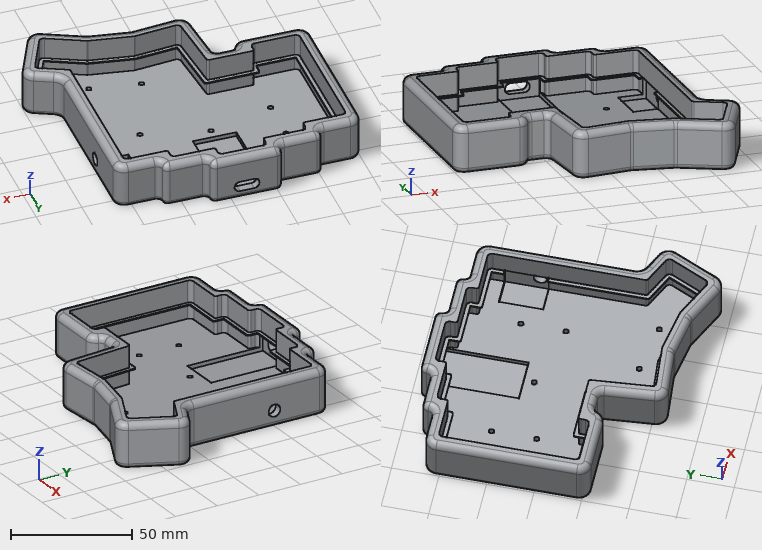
import cadquery as cq
import math


key_pitch = 19.0
key_space = 21.0
clearance = key_space - key_pitch
column_count = 5
column_stagger = 4.8
stepped_columns = 2
field_width = column_count * key_pitch + clearance
field_height = 59.3
field_middle = field_width / 2

thumb_start_x = 41.5
thumb_start_y = -22.9
thumb_tilts = (5, -10, -25)
thumb_lengths = (20.4, 19.6, 19.8)

case_height = 20.6
floor_height = 3.3
ledge_height = 10.6
ledge_thickness = 0.5
ledge_underside = ledge_height - ledge_thickness

wall_thickness = 5.0
ledge_width = 1.8

outer_radius = 5.0
outer_step_radius = column_stagger / 2
pocket_hollow_radius = 1.9
pocket_bend_radius = 1.0
ledge_bend_radius = 1.0
top_fillet = 3.0
bottom_fillet = 2.4

screw_diameter = 2.2
screw_inset_x = key_pitch + clearance / 2
screw_row_y = 22.2
center_screw_y = 29.4
thumb_screws = [(64.5, -11.5), (86.2, -15.2)]

recess_depth = 1.9
recess_bottom = floor_height - recess_depth
recess_front_y = 33.8
usb_recess_width = key_pitch
usb_wall_depth = 1.3
jack_recess_width = 10.8
jack_recess_length = 18.7
jack_wall_depth = 1.5

usb_opening_width = 10.8
usb_opening_height = 4.7
usb_opening_z = 6.0
jack_diameter = 5.5
jack_y = 37.7
jack_z = 7.3

LENGTH_TOLERANCE = 0.001


def direction(angle):
    return cq.Vector(math.cos(math.radians(angle)), math.sin(math.radians(angle)))


def thumb_corners():
    """Corners around the thumb cluster, from the notch to the right side of the key field."""
    first_tilt = thumb_tilts[0]
    last_tilt = thumb_tilts[-1]
    lean = (column_stagger - thumb_start_y) * math.tan(math.radians(first_tilt))
    corners = [cq.Vector(thumb_start_x + lean, thumb_start_y)]
    for tilt, length in zip(thumb_tilts, thumb_lengths):
        corners.append(corners[-1] + direction(tilt) * length)
    tip = corners[-1] + direction(last_tilt + 90) * key_space
    rise = (field_width - tip.x) * math.tan(math.radians(last_tilt))
    return corners + [tip, cq.Vector(field_width, tip.y + rise)]


def staggered_top_corners():
    """Corners of the stepped top side, from right to left."""
    left_half = [cq.Vector(0, field_height)]
    for step in range(1, stepped_columns + 1):
        x = step * key_pitch
        y = field_height + step * column_stagger
        left_half += [cq.Vector(x, y - column_stagger), cq.Vector(x, y)]
    right_half = [cq.Vector(field_width - corner.x, corner.y) for corner in left_half]
    return right_half + left_half[::-1]


def pocket_corners():
    """Sharp corners of the plate pocket, counterclockwise."""
    notch = [
        cq.Vector(0, 0),
        cq.Vector(key_space, 0),
        cq.Vector(key_space, column_stagger),
        cq.Vector(thumb_start_x, column_stagger),
    ]
    return notch + thumb_corners() + staggered_top_corners()


def side_directions(corners, index):
    """Unit vectors along the sides before and after a corner."""
    corner = corners[index]
    following = corners[(index + 1) % len(corners)]
    return (corner - corners[index - 1]).normalized(), (following - corner).normalized()


def offset_corners(corners, distance):
    """Move every side outward by a distance, keeping the corners sharp."""
    moved = []
    for index, corner in enumerate(corners):
        before, after = side_directions(corners, index)
        outward = cq.Vector(before.y + after.y, -before.x - after.x)
        moved.append(corner + outward * (distance / (1 + before.dot(after))))
    return moved


def inner_radii(corners, hollow_radius, bend_radius):
    """One radius for the corners that point outward, another for those that point inward."""
    radii = []
    for index in range(len(corners)):
        before, after = side_directions(corners, index)
        radii.append(hollow_radius if before.cross(after).z > 0 else bend_radius)
    return radii


def rounded_prism(corners, radii, bottom, top):
    """Extrude an outline whose corners are replaced by tangent arcs; radius 0 stays sharp."""
    path = cq.Workplane("XY", origin=(0, 0, bottom))
    position = None
    for index, (corner, radius) in enumerate(zip(corners, radii)):
        before, after = side_directions(corners, index)
        half_turn = before.getAngle(after) / 2
        tangent_length = radius * math.tan(half_turn)
        start = corner - before * tangent_length
        if position is None:
            path = path.moveTo(start.x, start.y)
        elif (start - position).Length > LENGTH_TOLERANCE:
            path = path.lineTo(start.x, start.y)
        position = start
        if radius > 0:
            inward = (after - before).normalized()
            middle = corner + inward * (radius / math.cos(half_turn) - radius)
            position = corner + after * tangent_length
            path = path.threePointArc((middle.x, middle.y), (position.x, position.y))
    return path.close().extrude(top - bottom)


def box(x_range, y_range, z_range):
    sizes = [high - low for low, high in (x_range, y_range, z_range)]
    corner = (x_range[0], y_range[0], z_range[0])
    return cq.Workplane("XY", origin=corner).box(*sizes, centered=False)


pocket = pocket_corners()
pocket_back_y = field_height + stepped_columns * column_stagger

notch_foot = 1
notch_top = 2
thumb_inner = 3
first_top_step = len(pocket) - 4 * stepped_columns - 1
small_corners = [notch_top, thumb_inner, *range(first_top_step, len(pocket) - 1)]


def case_body():
    """Solid block with the outer outline and rounded top and bottom edges."""
    corners = offset_corners(pocket, wall_thickness)
    lean = math.acos(1 - column_stagger / (outer_radius + outer_step_radius))
    slope = cq.Vector(column_stagger / math.tan(lean), column_stagger)
    corners[notch_top] = corners[notch_foot] + slope
    radii = [outer_radius] * len(corners)
    for index in small_corners:
        radii[index] = outer_step_radius
    body = rounded_prism(corners, radii, 0, case_height)
    body = body.faces(">Z").edges().fillet(top_fillet)
    return body.faces("<Z").edges().fillet(bottom_fillet)


def hollow():
    """Plate pocket above the ledge, opening in the ledge, and the space below it."""
    pocket_radii = inner_radii(pocket, pocket_hollow_radius, pocket_bend_radius)
    plate_pocket = rounded_prism(pocket, pocket_radii, ledge_height, case_height)
    lower_space = rounded_prism(pocket, pocket_radii, floor_height, ledge_underside)
    opening = offset_corners(pocket, -ledge_width)
    opening_radii = inner_radii(opening, 0, ledge_bend_radius)
    ledge_opening = rounded_prism(opening, opening_radii, floor_height, ledge_height)
    return plate_pocket.union(ledge_opening).union(lower_space)


def usb_recess():
    half_width = usb_recess_width / 2
    return box(
        (field_middle - half_width, field_middle + half_width),
        (recess_front_y, pocket_back_y + usb_wall_depth),
        (recess_bottom, ledge_underside),
    )


def jack_recess():
    return box(
        (field_width - jack_recess_width, field_width + jack_wall_depth),
        (recess_front_y, recess_front_y + jack_recess_length),
        (recess_bottom, ledge_height),
    )


def usb_opening():
    plane = cq.Workplane("XZ", origin=(field_middle, pocket_back_y, usb_opening_z))
    return plane.slot2D(usb_opening_width, usb_opening_height).extrude(-2 * wall_thickness)


def jack_opening():
    plane = cq.Workplane("YZ", origin=(field_width, jack_y, jack_z))
    return plane.circle(jack_diameter / 2).extrude(2 * wall_thickness)


def screw_holes():
    points = [(field_middle, center_screw_y)] + thumb_screws
    for x in (screw_inset_x, field_width - screw_inset_x):
        for y in (screw_row_y, screw_row_y + key_pitch):
            points.append((x, y))
    return cq.Workplane("XY").pushPoints(points).circle(screw_diameter / 2).extrude(ledge_height)


result = case_body().cut(hollow())
for cutter in (usb_recess(), jack_recess(), usb_opening(), jack_opening(), screw_holes()):
    result = result.cut(cutter)